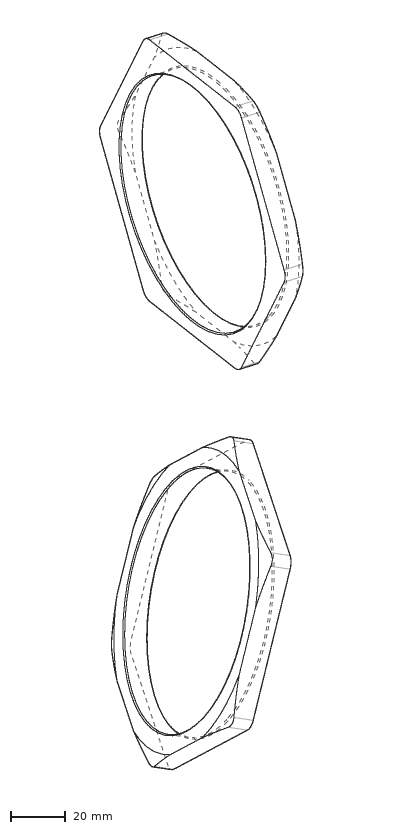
import cadquery as cq
import math

across_flats = 110.0
across_corners = 125.5
thickness = 10.0
bore_diameter = 98.0
bore_chamfer = 0.5
crown_diameter = 112.9
crown_angle = 20.0

sharp_corners = across_flats / math.cos(math.radians(30))
corner_radius = (sharp_corners - across_corners) / 2 / (sharp_corners / across_flats - 1)


def hexagon_plate():
    """Hexagonal plate with rounded corners; front face on Y = 0, back face at +Y."""
    return (
        cq.Workplane("XZ")
        .polygon(6, sharp_corners)
        .extrude(-thickness)
        .edges("|Y")
        .fillet(corner_radius)
    )


def crown_envelope():
    """Turned blank whose conical back edge bevels the hexagon corners."""
    crown_radius = crown_diameter / 2
    blank_radius = sharp_corners / 2
    bevel_depth = (blank_radius - crown_radius) * math.tan(math.radians(crown_angle))
    return (
        cq.Workplane("XY")
        .moveTo(0, 0)
        .lineTo(blank_radius, 0)
        .lineTo(blank_radius, thickness - bevel_depth)
        .lineTo(crown_radius, thickness)
        .lineTo(0, thickness)
        .close()
        .revolve(360, (0, 0, 0), (0, 1, 0))
    )


def bore_cutter():
    """Through bore with a small chamfer at both mouths."""
    bore_radius = bore_diameter / 2
    mouth_radius = bore_radius + bore_chamfer
    return (
        cq.Workplane("XY")
        .moveTo(0, 0)
        .lineTo(mouth_radius, 0)
        .lineTo(bore_radius, bore_chamfer)
        .lineTo(bore_radius, thickness - bore_chamfer)
        .lineTo(mouth_radius, thickness)
        .lineTo(0, thickness)
        .close()
        .revolve(360, (0, 0, 0), (0, 1, 0))
    )


result = hexagon_plate().intersect(crown_envelope()).cut(bore_cutter())